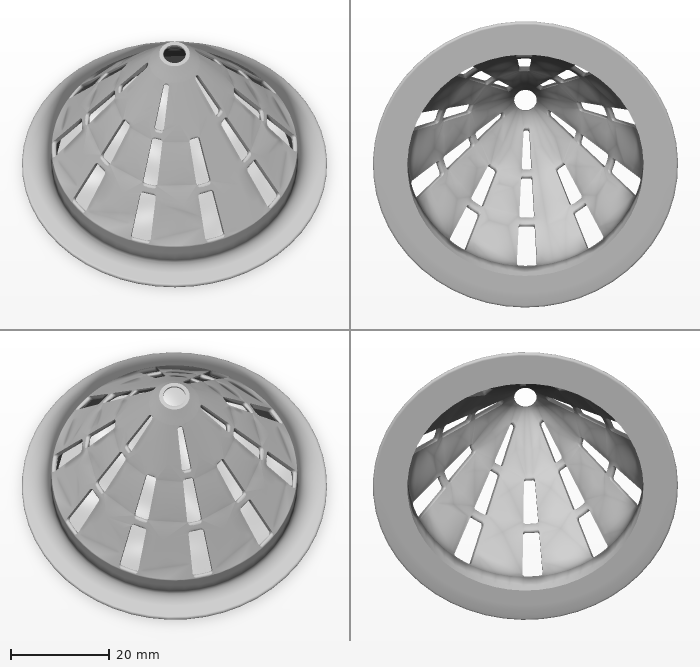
import cadquery as cq
import math

flange_diameter = 62.0
flange_thickness = 1.0
collar_diameter = 50.0
collar_bore_diameter = 48.0
collar_top = 6.0
blend_radius = 0.5

total_height = 38.05
tip_base_height = 35.15
tip_base_radius = 5.15
tip_radius = 3.1
tip_hole_radius = 2.3
wall_thickness = 1.0

slot_counts = [10, 10, 5]
first_slot_start = 0.1
slot_length = 11.0
slot_gap = 1.0
slot_width_at_base = 4.2
slot_width_at_end = 1.1
slot_corner_radius = 0.5
first_slot_angle = 180

flange_radius = flange_diameter / 2
collar_radius = collar_diameter / 2
bore_radius = collar_bore_diameter / 2
cone_slope = (collar_radius - tip_base_radius) / (tip_base_height - collar_top)
cone_half_angle = math.atan(cone_slope)
seam_angle = 180 / max(slot_counts)
slot_pitch = slot_length + slot_gap
slots_end = first_slot_start + len(slot_counts) * slot_pitch - slot_gap


def inner_cone_height(radius):
    """Height at which the inner face of the cone has a given radius."""
    base_radius = collar_radius - wall_thickness / math.cos(cone_half_angle)
    return collar_top + (base_radius - radius) / cone_slope


def ring_at(height):
    """Selector for the circular edges lying at a height."""
    reach = flange_diameter
    margin = 0.05
    return cq.selectors.BoxSelector(
        (-reach, -reach, height - margin), (reach, reach, height + margin), boundingbox=True
    )


def make_shell():
    """Revolve the round-edged flange, the collar and the hollow cone about the Z axis.

    The revolve is turned so that its seam falls between two slots.
    """
    rim_radius = flange_thickness / 2
    shell = (
        cq.Workplane("XZ")
        .moveTo(bore_radius, 0)
        .lineTo(flange_radius - rim_radius, 0)
        .threePointArc((flange_radius, rim_radius), (flange_radius - rim_radius, flange_thickness))
        .lineTo(collar_radius, flange_thickness)
        .lineTo(collar_radius, collar_top)
        .lineTo(tip_base_radius, tip_base_height)
        .lineTo(tip_radius, total_height)
        .lineTo(tip_hole_radius, total_height)
        .lineTo(tip_hole_radius, inner_cone_height(tip_hole_radius))
        .lineTo(bore_radius, inner_cone_height(bore_radius))
        .close()
        .revolve(360, (0, 0, 0), (0, 1, 0))
    )
    inner_ring = cq.selectors.RadiusNthSelector(0)
    outer_ring = cq.selectors.RadiusNthSelector(-1)
    shell = shell.edges(ring_at(flange_thickness)).edges(inner_ring).fillet(blend_radius)
    shell = shell.edges(ring_at(collar_top)).edges(outer_ring).fillet(blend_radius)
    return shell.rotate((0, 0, 0), (0, 0, 1), seam_angle)


def cone_point(distance, depth):
    """Radius and height at a distance up the cone surface and a depth square to it."""
    radius = collar_radius - distance * math.sin(cone_half_angle) - depth * math.cos(cone_half_angle)
    height = collar_top + distance * math.cos(cone_half_angle) - depth * math.sin(cone_half_angle)
    return radius, height


def slot_width(distance):
    """Width of the tapering slots at a distance up the cone surface."""
    return slot_width_at_base + (slot_width_at_end - slot_width_at_base) * distance / slots_end


def make_slot_wedge():
    """Tapered prism through all rows, square to the cone, with one long side on the XZ plane."""
    tangent_plane = cq.Plane(
        origin=(collar_radius, 0, collar_top),
        xDir=(-math.sin(cone_half_angle), 0, math.cos(cone_half_angle)),
        normal=(math.cos(cone_half_angle), 0, math.sin(cone_half_angle)),
    )
    low = -wall_thickness
    high = slots_end + wall_thickness
    return (
        cq.Workplane(tangent_plane)
        .polyline([(low, 0), (high, 0), (high, slot_width(high)), (low, slot_width(low))])
        .close()
        .extrude(3 * wall_thickness, both=True)
    )


def make_slot_cutter(start):
    """Slot starting at a distance up the cone.

    Its sides are flat, its ends wrap half-round bars and its corners are rounded.
    """
    end = start + slot_length
    band_angle = 90
    mid_depth = wall_thickness / 2
    band = (
        cq.Workplane("XZ")
        .moveTo(*cone_point(start, -wall_thickness))
        .lineTo(*cone_point(start, 0))
        .threePointArc(cone_point(start + mid_depth, mid_depth), cone_point(start, wall_thickness))
        .lineTo(*cone_point(start, 2 * wall_thickness))
        .lineTo(*cone_point(end, 2 * wall_thickness))
        .lineTo(*cone_point(end, wall_thickness))
        .threePointArc(cone_point(end - mid_depth, mid_depth), cone_point(end, 0))
        .lineTo(*cone_point(end, -wall_thickness))
        .close()
        .revolve(band_angle, (0, 0, 0), (0, 1, 0))
        .rotate((0, 0, 0), (0, 0, 1), -band_angle / 2)
    )
    slot = band.intersect(make_slot_wedge())
    end_arcs = slot.faces("%PLANE").edges("%CIRCLE or %BSPLINE")
    return end_arcs.fillet(slot_corner_radius)


def cut_slots(shell):
    """Cut every row of slots, each row evenly spaced around the axis."""
    for row, count in enumerate(slot_counts):
        cutter = make_slot_cutter(first_slot_start + row * slot_pitch)
        for index in range(count):
            angle = first_slot_angle + index * 360 / count
            shell = shell.cut(cutter.rotate((0, 0, 0), (0, 0, 1), angle))
    return shell


result = cut_slots(make_shell())